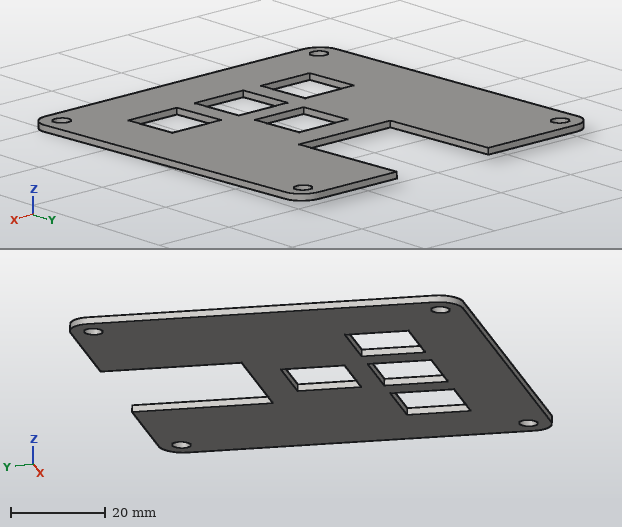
import cadquery as cq
import math

width = 83.9
overall_depth = 86.3
overall_height = 3.8

tilt_degrees = 1.5
tilt = math.radians(tilt_degrees)
plate_length = (overall_depth * math.cos(tilt) - overall_height * math.sin(tilt)) / math.cos(2 * tilt)
thickness = (overall_height * math.cos(tilt) - overall_depth * math.sin(tilt)) / math.cos(2 * tilt)
front_edge = -plate_length / 2
back_edge = plate_length / 2

corner_radius = 5.0
mount_hole_diameter = 4.0

notch_width = 26.2
notch_depth = 31.0
notch_center_x = 1.4

window_side = 14.0
window_pitch = 19.1
window_center_x = 0.95
window_row_y = front_edge + 22.1
window_positions = [(window_center_x + column * window_pitch, window_row_y) for column in (-1, 0, 1)]
window_positions.append((window_center_x, window_row_y + window_pitch))


def make_plate():
    """Flat rounded plate centred on the origin."""
    plate = cq.Workplane("XY").box(width, plate_length, thickness)
    return plate.edges("|Z").fillet(corner_radius)


def cut_mount_holes(plate):
    """Drill a through hole at the centre of each corner arc."""
    spacing_x = width - 2 * corner_radius
    spacing_y = plate_length - 2 * corner_radius
    top = plate.faces(">Z").workplane()
    return top.rect(spacing_x, spacing_y, forConstruction=True).vertices().hole(mount_hole_diameter)


def cut_notch(plate):
    """Remove the rectangular notch from the back edge."""
    notch = cq.Workplane("XY").box(notch_width, notch_depth, thickness)
    return plate.cut(notch.translate((notch_center_x, back_edge - notch_depth / 2, 0)))


def cut_windows(plate):
    """Cut the square windows through the plate."""
    windows = cq.Workplane("XY").pushPoints(window_positions).box(window_side, window_side, thickness)
    return plate.cut(windows)


flat_plate = cut_windows(cut_notch(cut_mount_holes(make_plate())))
result = flat_plate.rotate((0, 0, 0), (1, 0, 0), tilt_degrees)